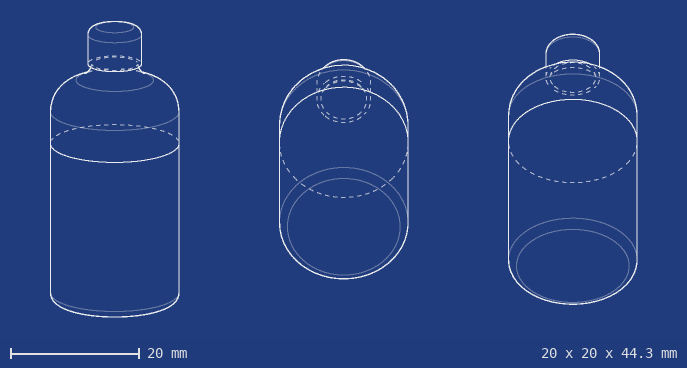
import cadquery as cq
import math

total_height = 44.35
bottle_radius = 20.0 / 2
base_fillet = 1.25
joint_height = 25.45

shoulder_start = 30.65
shoulder_arc_radius = 5.3
neck_radius = 7.0 / 2
neck_arc_radius = 3.33

cap_radius = 8.4 / 2
cap_height = 5.95
cap_fillet = 1.25
cap_bottom = total_height - cap_height


def make_container():
    """Lower cylinder with a rounded bottom edge."""
    container = cq.Workplane("XY").circle(bottle_radius).extrude(joint_height)
    return container.faces("<Z").edges().fillet(base_fillet)


def make_shoulder():
    """Straight band, convex shoulder and concave neck, revolved about Z."""
    shoulder_center_x = bottle_radius - shoulder_arc_radius
    neck_center_x = neck_radius + neck_arc_radius
    center_distance = shoulder_arc_radius + neck_arc_radius
    tangent_angle = math.acos((neck_center_x - shoulder_center_x) / center_distance)
    neck_center_z = shoulder_start + center_distance * math.sin(tangent_angle)
    cut_angle = math.asin((neck_center_z - cap_bottom) / neck_arc_radius)

    def shoulder_point(angle):
        return (
            shoulder_center_x + shoulder_arc_radius * math.cos(angle),
            shoulder_start + shoulder_arc_radius * math.sin(angle),
        )

    def neck_point(angle):
        return (
            neck_center_x - neck_arc_radius * math.cos(angle),
            neck_center_z - neck_arc_radius * math.sin(angle),
        )

    return (
        cq.Workplane("XZ")
        .moveTo(0, joint_height)
        .lineTo(bottle_radius, joint_height)
        .lineTo(bottle_radius, shoulder_start)
        .threePointArc(shoulder_point(tangent_angle / 2), shoulder_point(tangent_angle))
        .threePointArc(neck_point((tangent_angle + cut_angle) / 2), neck_point(cut_angle))
        .lineTo(0, cap_bottom)
        .close()
        .revolve(360, (0, 0, 0), (0, 1, 0))
    )


def make_cap():
    """Cylindrical cap with a rounded top edge, seated on the neck."""
    cap = cq.Workplane("XY", origin=(0, 0, cap_bottom)).circle(cap_radius).extrude(cap_height)
    return cap.faces(">Z").edges().fillet(cap_fillet)


container = make_container()
shoulder = make_shoulder()
cap = make_cap()

result = cq.Compound.makeCompound([container.val(), shoulder.val(), cap.val()])